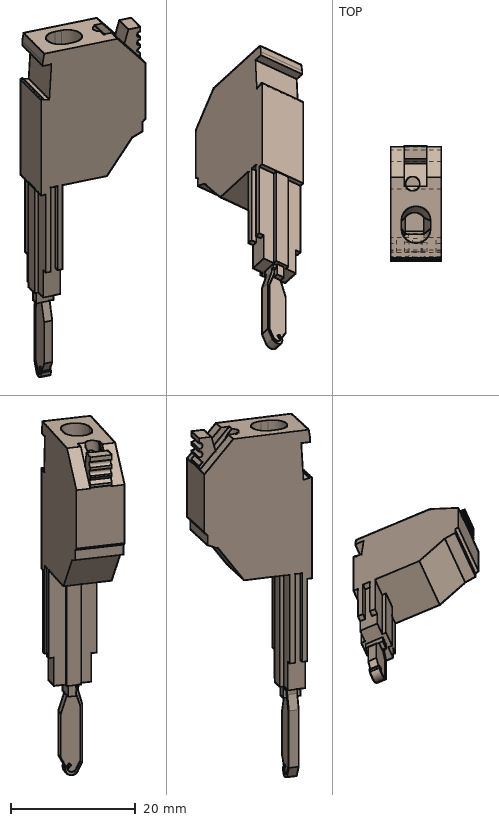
import cadquery as cq

HEIGHT = 60.3
WIDTH = 8.15
HALF_WIDTH = WIDTH / 2

HOUSING_DEPTH = 18.4
HOUSING_BOTTOM = 35.95
SKIRT_BOTTOM = 34.9
SKIRT_DEPTH = 0.8
TOP_BACK_Y = 13.45
BACK_CHAMFER_DROP = 5.4
BACK_CHAMFER_SLOPE = BACK_CHAMFER_DROP / (HOUSING_DEPTH - TOP_BACK_Y)

LEVER_LEFT = -1.9
LEVER_RIGHT = 1.75
LEVER_BACK_Y = 18.5
SLOT_FRONT_Y = 12.0
GROOVE_RADIUS = 0.5
GROOVE_DEPTH = 0.6
GROOVE_TOP_Z = 59.0
GROOVE_PITCH = 1.45
ROUND_GROOVES = 2
NOTCH_Z = 56.15
NOTCH_HALF_HEIGHT = 0.6

TEST_HOLE_X = -0.55
TEST_HOLE_Y = 12.4
TEST_HOLE_RADIUS = 1.15
TEST_HOLE_FLOOR = 57.9

ENTRY_Y = 5.85
ENTRY_LENGTH = 5.9
ENTRY_WIDTH = 4.7
SHAFT_DEPTH = 4.8
FUNNEL_DEPTH = 3.0
SEAT_X = -0.25
SEAT_WIDTH = 3.0
SEAT_FRONT_Y = 4.35
SEAT_BACK_Y = 7.8
SEAT_ARCH_RISE = 0.8
SEAT_SLOT_WIDTH = 0.4
SEAT_SLOT_DEPTH = 0.6

STEM_BOTTOM = 15.9
STEM_STEP_Z = 20.8
CORE_FRONT_Y = SKIRT_DEPTH
CORE_BACK_Y = 3.8
SIDE_RIB_DEPTH = 0.9
SIDE_RIB_HEIGHT = 0.9
CORE_HALF_WIDTH = HALF_WIDTH - SIDE_RIB_HEIGHT
CENTER_RIB_HALF_WIDTH = 1.2
CENTER_RIB_HEIGHT = 0.65

PIN_FRONT_Y = 1.45
PIN_BACK_Y = 3.15
PLATE_RECESS = 0.1
NECK_LEFT = -0.6
NECK_RIGHT = 0.7
NECK_BOTTOM = 13.75
NECK_FRONT_Y = 0.65
NECK_BACK_Y = 3.7
COLLAR_BOTTOM = 15.2
COLLAR_INSET = 0.3
STRIP_NECK_X = -1.15
BEND_Z = 14.5

TUCK = 0.6


def box(x0, x1, y0, y1, z0, z1):
    """Block between two opposite corners."""
    return cq.Workplane("XY").box(x1 - x0, y1 - y0, z1 - z0, centered=False).translate((x0, y0, z0))


def side_profile(points, x0, x1):
    """Closed (Y, Z) outline extruded from x0 to x1."""
    return cq.Workplane("YZ", origin=(x0, 0, 0)).polyline(points).close().extrude(x1 - x0)


def slot_floor_z(y):
    """Height of the slot floor, which runs parallel to the back chamfer."""
    return HEIGHT - (y - SLOT_FRONT_Y) * BACK_CHAMFER_SLOPE


def make_housing():
    outline = [
        (0.55, HEIGHT), (0.3, 58.9), (0.3, 58.15), (1.8, 58.15),
        (1.45, 51.9), (0.4, 52.05), (0.35, 52.25), (0, 52.05),
        (0, SKIRT_BOTTOM), (SKIRT_DEPTH, SKIRT_BOTTOM), (SKIRT_DEPTH, HOUSING_BOTTOM),
        (11.6, HOUSING_BOTTOM), (16.05, 42.0), (17.85, 42.7), (17.85, 44.4),
        (HOUSING_DEPTH, 44.9), (HOUSING_DEPTH, HEIGHT - BACK_CHAMFER_DROP), (TOP_BACK_Y, HEIGHT),
    ]
    return side_profile(outline, -HALF_WIDTH, HALF_WIDTH)


def make_lever_slot():
    end_y = HOUSING_DEPTH + TUCK
    outline = [(SLOT_FRONT_Y, HEIGHT), (end_y, slot_floor_z(end_y)), (end_y, HEIGHT)]
    return side_profile(outline, LEVER_LEFT, LEVER_RIGHT)


def make_lever():
    foot_y = 15.6
    outline = [
        (LEVER_BACK_Y, HEIGHT), (16.4, HEIGHT), (foot_y, 57.6), (foot_y, slot_floor_z(foot_y) - TUCK),
        (HOUSING_DEPTH, slot_floor_z(HOUSING_DEPTH) - TUCK), (HOUSING_DEPTH, 55.0), (LEVER_BACK_Y, 55.15),
    ]
    lever = side_profile(outline, LEVER_LEFT, LEVER_RIGHT)
    groove_y = LEVER_BACK_Y - GROOVE_DEPTH + GROOVE_RADIUS
    for index in range(ROUND_GROOVES):
        groove_z = GROOVE_TOP_Z - index * GROOVE_PITCH
        groove = (
            cq.Workplane("YZ", origin=(LEVER_LEFT, groove_y, groove_z))
            .circle(GROOVE_RADIUS)
            .extrude(LEVER_RIGHT - LEVER_LEFT)
        )
        lever = lever.cut(groove)
    notch = [
        (LEVER_BACK_Y, NOTCH_Z + NOTCH_HALF_HEIGHT),
        (LEVER_BACK_Y - GROOVE_DEPTH, NOTCH_Z),
        (LEVER_BACK_Y, NOTCH_Z - NOTCH_HALF_HEIGHT),
    ]
    return lever.cut(side_profile(notch, LEVER_LEFT, LEVER_RIGHT))


def make_test_hole():
    """Blind round hole whose floor ramps up at 45 degrees in front of the slot edge."""
    depth = HEIGHT - TEST_HOLE_FLOOR
    hole = (
        cq.Workplane("XY", origin=(TEST_HOLE_X, TEST_HOLE_Y, TEST_HOLE_FLOOR))
        .circle(TEST_HOLE_RADIUS)
        .extrude(depth)
    )
    ramp = [
        (SLOT_FRONT_Y, TEST_HOLE_FLOOR),
        (SLOT_FRONT_Y - depth, TEST_HOLE_FLOOR),
        (SLOT_FRONT_Y - depth, HEIGHT),
    ]
    return hole.cut(side_profile(ramp, -HALF_WIDTH, HALF_WIDTH))


def make_wire_entry():
    """Round-ended shaft that funnels down to an arched seat."""
    radius = ENTRY_WIDTH / 2
    reach = ENTRY_LENGTH / 2
    flat = reach - radius
    left = SEAT_X - SEAT_WIDTH / 2
    right = SEAT_X + SEAT_WIDTH / 2
    shoulder_y = SEAT_BACK_Y - SEAT_ARCH_RISE
    shaft_z = HEIGHT - SHAFT_DEPTH
    seat_z = shaft_z - FUNNEL_DEPTH
    mouth = (
        cq.Workplane("XY", origin=(0, 0, shaft_z))
        .moveTo(-radius, ENTRY_Y - flat)
        .threePointArc((0, ENTRY_Y - reach), (radius, ENTRY_Y - flat))
        .lineTo(radius, ENTRY_Y + flat)
        .threePointArc((0, ENTRY_Y + reach), (-radius, ENTRY_Y + flat))
        .close()
    )
    funnel = (
        mouth.workplane(offset=-FUNNEL_DEPTH)
        .moveTo(left, SEAT_FRONT_Y)
        .lineTo(right, SEAT_FRONT_Y)
        .lineTo(right, shoulder_y)
        .threePointArc((SEAT_X, SEAT_BACK_Y), (left, shoulder_y))
        .close()
        .loft(ruled=True)
    )
    shaft = funnel.faces(">Z").wires().toPending().workplane().extrude(SHAFT_DEPTH, combine=False)
    seat_slot = box(
        left, right, SEAT_FRONT_Y, SEAT_FRONT_Y + SEAT_SLOT_WIDTH, seat_z - SEAT_SLOT_DEPTH, seat_z
    )
    return shaft.union(funnel).union(seat_slot)


def make_stem():
    top = HOUSING_BOTTOM + TUCK
    stem = box(-CORE_HALF_WIDTH, CORE_HALF_WIDTH, CORE_FRONT_Y, CORE_BACK_Y, STEM_BOTTOM, top)
    for rib_y in (CORE_FRONT_Y, CORE_BACK_Y - SIDE_RIB_DEPTH):
        rib = box(-HALF_WIDTH, HALF_WIDTH, rib_y, rib_y + SIDE_RIB_DEPTH, STEM_STEP_Z, top)
        stem = stem.union(rib)
    center_rib = box(
        -CENTER_RIB_HALF_WIDTH, CENTER_RIB_HALF_WIDTH,
        CORE_FRONT_Y - CENTER_RIB_HEIGHT, CORE_BACK_Y + CENTER_RIB_HEIGHT,
        STEM_BOTTOM, top,
    )
    return stem.union(center_rib)


def make_pin():
    top = STEM_BOTTOM + TUCK
    strip = (
        cq.Workplane("XZ", origin=(0, PIN_BACK_Y, 0))
        .moveTo(STRIP_NECK_X, top)
        .lineTo(STRIP_NECK_X, BEND_Z)
        .lineTo(-1.9, 11.95)
        .lineTo(-1.9, 2.2)
        .lineTo(-1.0, 0.5)
        .threePointArc((-0.1, 0), (0.85, 0.5))
        .lineTo(1.0, 1.2)
        .lineTo(0.35, 2.05)
        .lineTo(0.05, 1.75)
        .lineTo(0.6, 1.15)
        .threePointArc((-0.1, 0.55), (-0.7, 0.8))
        .lineTo(-1.5, 2.3)
        .lineTo(-1.5, 11.75)
        .lineTo(NECK_LEFT, BEND_Z)
        .lineTo(NECK_LEFT, top)
        .close()
        .extrude(PIN_BACK_Y - PIN_FRONT_Y)
    )
    plate_outline = [
        (NECK_LEFT, top), (-1.7, 11.8), (-1.7, 2.25), (-0.85, 0.65), (-0.1, 0.35), (0.7, 0.85),
        (0.9, 1.55), (1.75, 3.2), (1.75, 10.7), (NECK_RIGHT, NECK_BOTTOM), (NECK_RIGHT, top),
    ]
    plate = (
        cq.Workplane("XZ", origin=(0, PIN_BACK_Y - PLATE_RECESS, 0))
        .polyline(plate_outline)
        .close()
        .extrude(PIN_BACK_Y - PIN_FRONT_Y - 2 * PLATE_RECESS)
    )
    neck = box(NECK_LEFT, NECK_RIGHT, NECK_FRONT_Y, NECK_BACK_Y, NECK_BOTTOM, top)
    collar = box(
        STRIP_NECK_X, NECK_LEFT, NECK_FRONT_Y + COLLAR_INSET, NECK_BACK_Y - COLLAR_INSET, COLLAR_BOTTOM, top
    )
    return strip.union(plate).union(neck).union(collar)


housing = make_housing().cut(make_lever_slot()).cut(make_test_hole()).cut(make_wire_entry())
result = housing.union(make_lever()).union(make_stem()).union(make_pin())